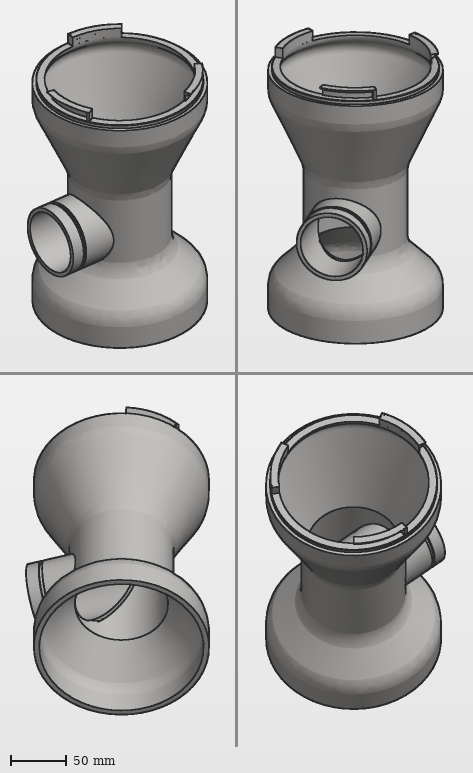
import cadquery as cq
import math

body_radius = 79.0
column_radius = 47.0
wall = 5.0
bore_radius = column_radius - wall
foot_shoulder_height = 30.8
funnel_start_height = 142.6
funnel_end_height = 213.0
body_height = 235.3
corner_radius = 20.0
foot_cone_height = body_radius - column_radius
column_start_height = foot_shoulder_height + foot_cone_height
funnel_angle = math.atan2(body_radius - column_radius, funnel_end_height - funnel_start_height)

rim_radius = 75.5
rim_inner_radius = 67.8
rim_top = 238.8
rim_chamfer = 0.5
undercut_radius = 10.0
undercut_angle = math.radians(57)

total_height = 248.5
lug_count = 3
lug_first_angle = 20.0
lug_sweep = 40.0
lug_stop_sweep = 2.0
lug_tip_radius = rim_radius - rim_chamfer
lug_wall_radius = 69.0
lug_lip_height = 4.5

pipe_radius = 33.0
pipe_bore_radius = 58.5 / 2
pipe_end = -80.0
pipe_axis_height = 95.2
hood_middle = -16.6
groove_radius = 62.0 / 2
groove_width = 3.2
groove_start = 12.0


def revolve_about_z(sketch):
    return sketch.close().revolve(360, (0, 0, 0), (0, 1, 0))


def round_corners(solid, low, high, radius):
    """Round the circular edges whose centres lie on the Z axis between two heights."""
    reach = 2.5
    on_axis = cq.selectors.BoxSelector((-reach, -reach, low - reach), (reach, reach, high + reach))
    return solid.edges(on_axis).fillet(radius)


def make_outer_body():
    outline = cq.Workplane("XZ").polyline([
        (0, 0),
        (body_radius, 0),
        (body_radius, foot_shoulder_height),
        (column_radius, column_start_height),
        (column_radius, funnel_start_height),
        (body_radius, funnel_end_height),
        (body_radius, body_height),
        (0, body_height),
    ])
    body = round_corners(
        revolve_about_z(outline), foot_shoulder_height, funnel_end_height, corner_radius
    )
    rim = (
        cq.Workplane("XY").workplane(offset=body_height)
        .circle(rim_radius).extrude(rim_top - body_height)
        .faces(">Z").edges().chamfer(rim_chamfer)
    )
    return body.union(rim)


def make_foot_cavity():
    corner_shift = wall * math.tan(math.radians(45) / 2)
    shoulder = foot_shoulder_height - corner_shift
    bore_start = column_start_height - corner_shift
    outline = cq.Workplane("XZ").polyline([
        (0, 0),
        (body_radius - wall, 0),
        (body_radius - wall, shoulder),
        (bore_radius, bore_start),
        (bore_radius, funnel_start_height),
        (0, funnel_start_height),
    ])
    return round_corners(revolve_about_z(outline), shoulder, shoulder, corner_radius - wall)


def make_funnel_cavity():
    def on_arc(center, angle):
        return (
            center[0] + undercut_radius * math.cos(angle),
            center[1] + undercut_radius * math.sin(angle),
        )

    upper_center = (rim_inner_radius + undercut_radius, rim_top)
    lower_center = (
        upper_center[0] - 2 * undercut_radius * math.cos(undercut_angle),
        upper_center[1] - 2 * undercut_radius * math.sin(undercut_angle),
    )
    cone_top = on_arc(lower_center, -funnel_angle)
    cone_bottom = cone_top[1] - (cone_top[0] - bore_radius) / math.tan(funnel_angle)
    outline = (
        cq.Workplane("XZ")
        .moveTo(0, funnel_start_height)
        .lineTo(bore_radius, funnel_start_height)
        .lineTo(bore_radius, cone_bottom)
        .lineTo(*cone_top)
        .threePointArc(
            on_arc(lower_center, (undercut_angle - funnel_angle) / 2),
            on_arc(lower_center, undercut_angle),
        )
        .threePointArc(
            on_arc(upper_center, math.pi + undercut_angle / 2),
            (rim_inner_radius, rim_top),
        )
        .lineTo(0, rim_top)
    )
    return revolve_about_z(outline)


def make_lug(start_angle):
    """A wall with an overhanging lip, closed by a full-depth stop at its far end."""
    def sweep(points, from_angle, angle):
        profile = cq.Workplane("XZ").polyline(points).close()
        return profile.revolve(angle, (0, 0, 0), (0, 1, 0)).rotate((0, 0, 0), (0, 0, 1), from_angle)

    lip = sweep(
        [
            (rim_inner_radius, rim_top),
            (lug_wall_radius, rim_top),
            (lug_wall_radius, total_height - lug_lip_height),
            (lug_tip_radius, total_height),
            (rim_inner_radius, total_height),
        ],
        start_angle,
        lug_sweep,
    )
    stop = sweep(
        [
            (rim_inner_radius, rim_top),
            (lug_tip_radius, rim_top),
            (lug_tip_radius, total_height),
            (rim_inner_radius, total_height),
        ],
        start_angle + lug_sweep - lug_stop_sweep,
        lug_stop_sweep,
    )
    return lip.union(stop)


def make_bar(radius, length):
    """A solid round bar that runs toward +Y from the open end of the pipe."""
    end = cq.Workplane("XZ", origin=(0, pipe_end, pipe_axis_height))
    return end.circle(radius).extrude(-length)


def make_pipe_envelope():
    """The pipe without its bore and groove, cut at 45 degrees so that its top is longest."""
    cut_size = 8 * pipe_radius
    cut_plane = cq.Plane(origin=(0, hood_middle, pipe_axis_height), xDir=(1, 0, 0), normal=(0, 1, -1))
    removed = cq.Workplane(cut_plane).rect(cut_size, cut_size).extrude(cut_size)
    return make_bar(pipe_radius, 2 * body_radius).cut(removed)


def make_groove():
    plane = cq.Workplane("XZ", origin=(0, pipe_end + groove_start, pipe_axis_height))
    return plane.circle(pipe_radius).circle(groove_radius).extrude(-groove_width)


pipe_envelope = make_pipe_envelope()
inlet_bore = make_bar(pipe_bore_radius, abs(pipe_end))
branch_pipe = (
    pipe_envelope
    .cut(make_bar(pipe_bore_radius, 2 * body_radius))
    .cut(make_groove())
)

housing = make_outer_body().cut(make_foot_cavity()).cut(make_funnel_cavity())
for index in range(lug_count):
    housing = housing.union(make_lug(lug_first_angle + index * 360 / lug_count))
housing = housing.cut(pipe_envelope).cut(inlet_bore)

result = cq.Compound.makeCompound([housing.val(), branch_pipe.val()])